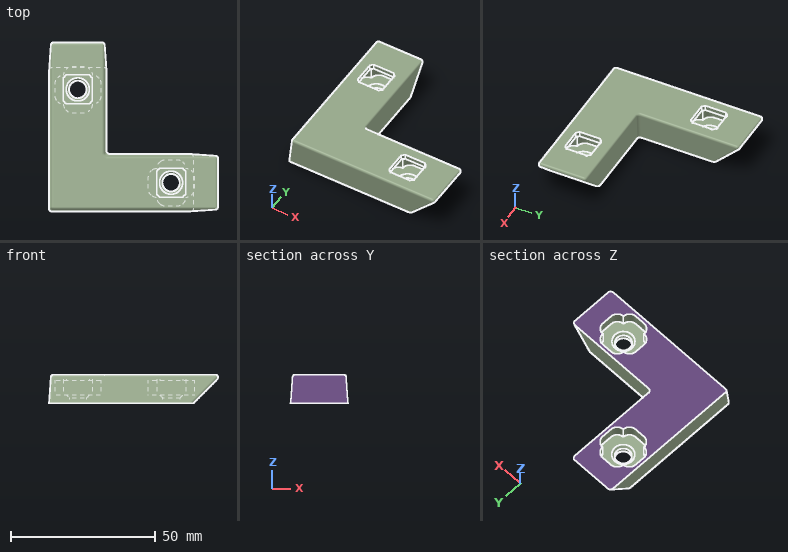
import cadquery as cq
import math

HEIGHT = 10.0
ARM_WIDTH = 20.0
FOOT_LENGTH = 50.0
SIDE_DRAFT = 4.0
EDGE_RADIUS = 1.0

SEAT_DISTANCE = 42.3
SEAT_SIDE = 10.0
SEAT_CHAMFER = 1.0
SEAT_LIP = 2.0
SEAT_DEPTH = 7.0
UNDERCUT_LENGTH = 16.0
UNDERCUT_RADIUS = 3.0
BORE_DIAMETER = 6.0
COUNTERSINK_DIAMETER = 8.0
COUNTERSINK_ANGLE = 90.0

BLANK_LENGTH = FOOT_LENGTH + 2 * HEIGHT
SEAT_FLOOR = HEIGHT - SEAT_DEPTH
SEAT_CENTERS = [
    (SEAT_DISTANCE, ARM_WIDTH / 2),
    (ARM_WIDTH / 2, SEAT_DISTANCE),
]


def end_trim(plane_name):
    """Wedge that cuts an arm end to an overhanging 45 degree face."""
    outline = [
        (FOOT_LENGTH, 0),
        (BLANK_LENGTH, 0),
        (BLANK_LENGTH, HEIGHT),
        (FOOT_LENGTH + HEIGHT, HEIGHT),
    ]
    half_thickness = 2 * BLANK_LENGTH
    return cq.Workplane(plane_name).polyline(outline).close().extrude(half_thickness, both=True)


def bracket_body():
    """L-shaped block with drafted sides, overhanging ends and rounded edges."""
    arm_along_x = (
        cq.Workplane("XY")
        .rect(BLANK_LENGTH, ARM_WIDTH, centered=False)
        .extrude(HEIGHT, taper=SIDE_DRAFT)
    )
    arm_along_y = (
        cq.Workplane("XY")
        .rect(ARM_WIDTH, BLANK_LENGTH, centered=False)
        .extrude(HEIGHT, taper=SIDE_DRAFT)
    )
    block = arm_along_x.union(arm_along_y)
    block = block.cut(end_trim("XZ")).cut(end_trim("YZ"))
    return block.edges("not <Z").fillet(EDGE_RADIUS)


def seat_mouth():
    """Square opening with chamfered corners, from the top face to the seat floor."""
    return (
        cq.Workplane("XY", origin=(0, 0, SEAT_FLOOR))
        .rect(SEAT_SIDE, SEAT_SIDE)
        .extrude(SEAT_DEPTH)
        .edges("|Z")
        .chamfer(SEAT_CHAMFER)
    )


def seat_undercut():
    """Cross of two round-cornered bars below the lip of the seat."""
    bar = (
        cq.Workplane("XY", origin=(0, 0, SEAT_FLOOR))
        .rect(UNDERCUT_LENGTH, SEAT_SIDE)
        .extrude(SEAT_DEPTH - SEAT_LIP)
        .edges("|Z")
        .fillet(UNDERCUT_RADIUS)
    )
    return bar.union(bar.rotate((0, 0, 0), (0, 0, 1), 90))


def countersunk_bore():
    """Through bore with a conical countersink in the seat floor."""
    half_angle = math.radians(COUNTERSINK_ANGLE / 2)
    sink_depth = (COUNTERSINK_DIAMETER - BORE_DIAMETER) / 2 / math.tan(half_angle)
    bore = cq.Workplane("XY").circle(BORE_DIAMETER / 2).extrude(SEAT_FLOOR)
    sink = cq.Solid.makeCone(
        BORE_DIAMETER / 2,
        COUNTERSINK_DIAMETER / 2,
        sink_depth,
        pnt=cq.Vector(0, 0, SEAT_FLOOR - sink_depth),
    )
    return bore.union(cq.Workplane(sink))


result = bracket_body()
for center_x, center_y in SEAT_CENTERS:
    for cutter in (seat_mouth(), seat_undercut(), countersunk_bore()):
        result = result.cut(cutter.translate((center_x, center_y, 0)), clean=False)